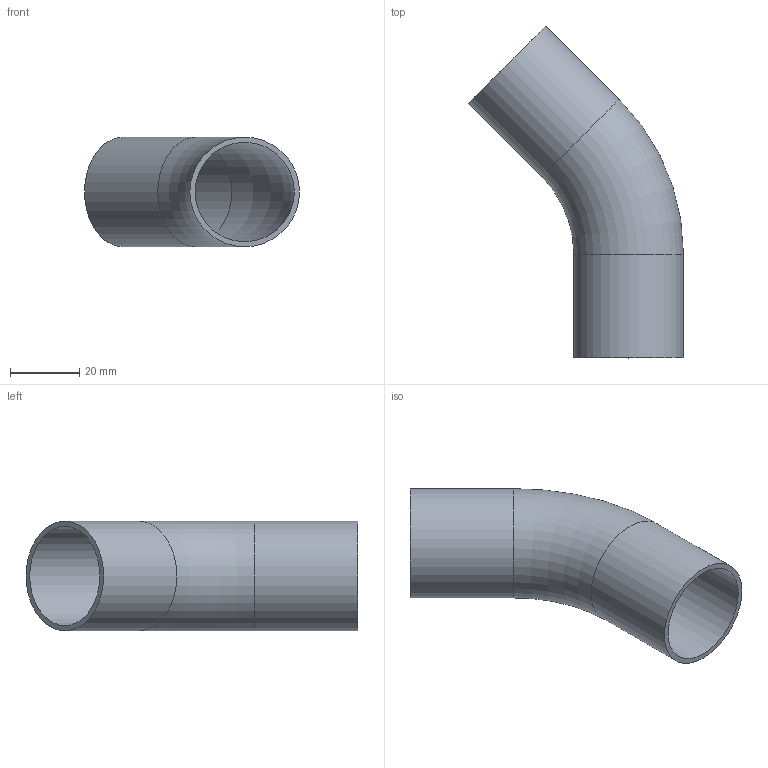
import cadquery as cq
import math

outer_diameter = 31.75
wall_thickness = 1.5
inner_diameter = outer_diameter - 2 * wall_thickness

straight_length = 30.0
bend_angle = 45.0
bend_radius = 1.5 * outer_diameter


def bend_point(angle):
    """Point on the bend centreline, at an angle in degrees from the bend start."""
    turn = math.radians(angle)
    x = -bend_radius * (1 - math.cos(turn))
    y = straight_length + bend_radius * math.sin(turn)
    return (x, y)


def centreline():
    """Path through the middle of the tube, in the XY plane."""
    bend_end_x, bend_end_y = bend_point(bend_angle)
    end_direction = math.radians(bend_angle)
    outlet = (
        bend_end_x - straight_length * math.sin(end_direction),
        bend_end_y + straight_length * math.cos(end_direction),
    )
    return (
        cq.Workplane("XY")
        .lineTo(*bend_point(0))
        .threePointArc(bend_point(bend_angle / 2), bend_point(bend_angle))
        .lineTo(*outlet)
    )


def elbow():
    """Ring section at the inlet, swept along the centreline."""
    return (
        cq.Workplane("XZ")
        .circle(outer_diameter / 2)
        .circle(inner_diameter / 2)
        .sweep(centreline())
    )


result = elbow()